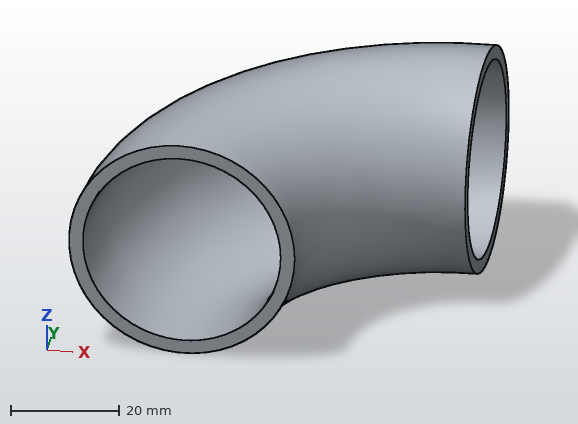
import cadquery as cq

overall_reach = 69.2
outer_diameter = 42.4
wall_thickness = 2.6
bend_angle = 90.0

outer_radius = outer_diameter / 2
inner_radius = outer_radius - wall_thickness
bend_radius = overall_reach - outer_radius


def tube_section():
    """Ring on the end face that opens toward -Y, centred on the bend radius."""
    return (
        cq.Workplane("XZ")
        .center(-bend_radius, 0)
        .circle(outer_radius)
        .circle(inner_radius)
    )


axis_start = (bend_radius, 0)
axis_end = (bend_radius, -1)
result = tube_section().revolve(bend_angle, axis_start, axis_end)